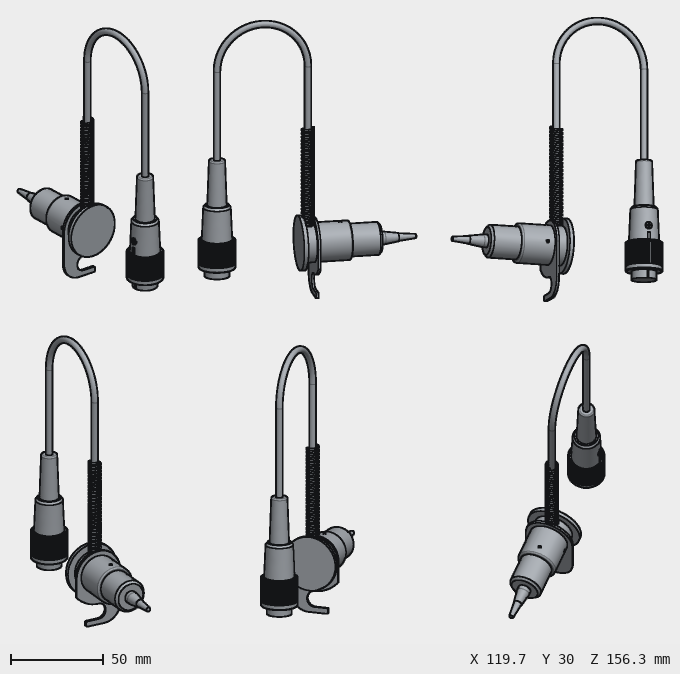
import cadquery as cq
import math


CABLE_RADIUS = 1.9
BEND_RADIUS = 25.0
BEND_CENTRE_Z = 99.9
PLUG_X = 2 * BEND_RADIUS
CABLE_INSERTION = 2.3

NOSE_RADIUS = 18.0 / 2
NOSE_FRONT_X = -39.7
NOSE_CHAMFER = 1.4
SLEEVE_RADIUS = 21.5 / 2
SLEEVE_FRONT_X = -22.8
SLEEVE_ROUNDING = 1.0
FLANGE_RADIUS = 30.0 / 2
FLANGE_FRONT_X = 2.7
FLANGE_THICKNESS = 2.3
SIDE_HOLE_X = -8.5
TOP_HOLE_X = -17.8
SMALL_HOLE_RADIUS = 1.49 / 2
SMALL_HOLE_DEPTH = 1.5

TIP_BASE_RADIUS = 7.0 / 2
TIP_BASE_LENGTH = 2.3
REAR_CONE_LENGTH = 7.7
REAR_CONE_END_RADIUS = 2.3
FRONT_CONE_LENGTH = 9.4
FRONT_CONE_BASE_RADIUS = 2.2
FRONT_CONE_END_RADIUS = 1.3
TIP_DOME_HEIGHT = 0.6

PLATE_FRONT_X = -4.4
PLATE_THICKNESS = 1.4
PLATE_RADIUS = 13.5
PLATE_LOWER_ARC_RADIUS = 17.5
HOOK_SLOT_RADIUS = 8.9 / 2
HOOK_BOTTOM_Z = -29.5
HOOK_CORNER_RADIUS = 10.0
HOOK_END_Y = 7.7
HOOK_END_FILLET = 0.8

WIRE_RADIUS = 1.0 / 2
SPRING_RADIUS = 3.52
SPRING_MEAN_RADIUS = SPRING_RADIUS - WIRE_RADIUS
SPRING_PITCH = 2.0
SPRING_TURNS = 27
SPRING_TOP_Z = 64.7
SPRING_BOTTOM_Z = SPRING_TOP_Z - SPRING_TURNS * SPRING_PITCH
SPRING_BORE_RADIUS = 7.2 / 2
SPRING_BORE_FLOOR_Z = 9.2

BOOT_TOP_Z = 49.9
BOOT_TOP_RADIUS = 8.9 / 2
BOOT_BOTTOM_RADIUS = 5.3
BOOT_ROUNDING = 0.8
BODY_TOP_Z = 24.4
BODY_SHOULDER_RADIUS = 6.4
BODY_TOP_RADIUS = 7.5
BODY_CHAMFER_HEIGHT = 1.4
BODY_BOTTOM_RADIUS = 8.3
RING_TOP_Z = 5.2
RING_BOTTOM_Z = -11.1
RING_RADIUS = 10.0
RING_CHAMFER = 0.5
KNURL_BOTTOM_Z = -8.3
KNURL_ROOT_RADIUS = 9.7
KNURL_TEETH = 90
INDEX_BAR_WIDTH = 1.3
INDEX_BAR_TOP_Z = 3.9
PLUG_NOSE_RADIUS = 13.6 / 2
PLUG_BOTTOM_Z = -15.6
KEYWAY_WIDTH = 0.5
KEYWAY_DEPTH = 0.5
KEYWAY_BOTTOM_Z = -15.0
BODY_MARK_WIDTH = 1.4
BODY_MARK_TOP_Z = 9.2
BODY_MARK_DEPTH = 0.3
SCREW_Z = 13.0
SCREW_RADIUS = 1.9
SCREW_RECESS_DEPTH = 0.3
SCREW_CROSS_WIDTH = 0.5
SCREW_CROSS_DEPTH = 0.6


def upright_cylinder(radius, bottom_z, top_z, x=0.0):
    """A vertical cylinder centred at (x, 0)."""
    height = top_z - bottom_z
    return cq.Workplane("XY", origin=(x, 0, bottom_z)).circle(radius).extrude(height)


def spring_bore():
    """The space for the spring: a bore in the sleeve that also notches the flange and the hook plate."""
    return upright_cylinder(SPRING_BORE_RADIUS, SPRING_BORE_FLOOR_Z, FLANGE_RADIUS)


def make_cable():
    inner_end_z = SLEEVE_RADIUS - CABLE_INSERTION
    plug_end_z = BOOT_TOP_Z - CABLE_INSERTION
    path = (
        cq.Workplane("XZ")
        .moveTo(0, inner_end_z)
        .lineTo(0, BEND_CENTRE_Z)
        .threePointArc((BEND_RADIUS, BEND_CENTRE_Z + BEND_RADIUS), (PLUG_X, BEND_CENTRE_Z))
        .lineTo(PLUG_X, plug_end_z)
    )
    return cq.Workplane("XY", origin=(0, 0, inner_end_z)).circle(CABLE_RADIUS).sweep(path)


def make_spring():
    helix = cq.Wire.makeHelix(SPRING_PITCH, SPRING_TURNS * SPRING_PITCH, SPRING_MEAN_RADIUS)
    coil = (
        cq.Workplane("XZ")
        .center(SPRING_MEAN_RADIUS, 0)
        .circle(WIRE_RADIUS)
        .sweep(cq.Workplane(helix), isFrenet=True)
    )
    return coil.rotate((0, 0, 0), (0, 0, 1), 180).translate((0, 0, SPRING_BOTTOM_Z))


def make_housing():
    rounding_inset = SLEEVE_ROUNDING * (1 - math.sqrt(0.5))
    rounding_mid = (SLEEVE_FRONT_X + rounding_inset, SLEEVE_RADIUS - rounding_inset)
    flange_back_x = FLANGE_FRONT_X + FLANGE_THICKNESS
    housing = (
        cq.Workplane("XZ")
        .moveTo(NOSE_FRONT_X, 0)
        .lineTo(NOSE_FRONT_X, NOSE_RADIUS - NOSE_CHAMFER)
        .lineTo(NOSE_FRONT_X + NOSE_CHAMFER, NOSE_RADIUS)
        .lineTo(SLEEVE_FRONT_X, NOSE_RADIUS)
        .lineTo(SLEEVE_FRONT_X, SLEEVE_RADIUS - SLEEVE_ROUNDING)
        .threePointArc(rounding_mid, (SLEEVE_FRONT_X + SLEEVE_ROUNDING, SLEEVE_RADIUS))
        .lineTo(FLANGE_FRONT_X, SLEEVE_RADIUS)
        .lineTo(FLANGE_FRONT_X, FLANGE_RADIUS)
        .lineTo(flange_back_x, FLANGE_RADIUS)
        .lineTo(flange_back_x, 0)
        .close()
        .revolve(360, (0, 0, 0), (1, 0, 0))
    )
    hole_floor = SLEEVE_RADIUS - SMALL_HOLE_DEPTH
    top_hole = upright_cylinder(SMALL_HOLE_RADIUS, hole_floor, FLANGE_RADIUS, TOP_HOLE_X)
    side_hole = upright_cylinder(SMALL_HOLE_RADIUS, hole_floor, FLANGE_RADIUS, SIDE_HOLE_X)
    side_hole = side_hole.rotate((0, 0, 0), (1, 0, 0), 90)
    cable_hole = upright_cylinder(CABLE_RADIUS, SLEEVE_RADIUS - CABLE_INSERTION, FLANGE_RADIUS)
    return housing.cut(top_hole).cut(side_hole).cut(cable_hole).cut(spring_bore())


def make_tip():
    base_front_x = NOSE_FRONT_X - TIP_BASE_LENGTH
    cone_joint_x = base_front_x - REAR_CONE_LENGTH
    cone_end_x = cone_joint_x - FRONT_CONE_LENGTH
    dome_radius = (FRONT_CONE_END_RADIUS**2 + TIP_DOME_HEIGHT**2) / (2 * TIP_DOME_HEIGHT)
    dome_half_angle = math.asin(FRONT_CONE_END_RADIUS / dome_radius) / 2
    dome_centre_x = cone_end_x - TIP_DOME_HEIGHT + dome_radius
    dome_mid = (
        dome_centre_x - dome_radius * math.cos(dome_half_angle),
        dome_radius * math.sin(dome_half_angle),
    )
    return (
        cq.Workplane("XZ")
        .moveTo(NOSE_FRONT_X, 0)
        .lineTo(NOSE_FRONT_X, TIP_BASE_RADIUS)
        .lineTo(base_front_x, TIP_BASE_RADIUS)
        .lineTo(cone_joint_x, REAR_CONE_END_RADIUS)
        .lineTo(cone_joint_x, FRONT_CONE_BASE_RADIUS)
        .lineTo(cone_end_x, FRONT_CONE_END_RADIUS)
        .threePointArc(dome_mid, (cone_end_x - TIP_DOME_HEIGHT, 0))
        .close()
        .revolve(360, (0, 0, 0), (1, 0, 0))
    )


def make_hook_plate():
    lower_edge_z = -math.sqrt(PLATE_LOWER_ARC_RADIUS**2 - PLATE_RADIUS**2)
    lower_mid_angle = math.acos(PLATE_RADIUS / PLATE_LOWER_ARC_RADIUS) / 2 + math.pi / 4
    lower_mid = (
        PLATE_LOWER_ARC_RADIUS * math.cos(lower_mid_angle),
        -PLATE_LOWER_ARC_RADIUS * math.sin(lower_mid_angle),
    )
    slot_top_z = -PLATE_LOWER_ARC_RADIUS
    slot_centre_z = slot_top_z - HOOK_SLOT_RADIUS
    slot_bottom_z = slot_centre_z - HOOK_SLOT_RADIUS
    corner_y = -PLATE_RADIUS + HOOK_CORNER_RADIUS
    corner_z = HOOK_BOTTOM_Z + HOOK_CORNER_RADIUS
    corner_reach = HOOK_CORNER_RADIUS * math.sqrt(0.5)
    plate = (
        cq.Workplane("YZ", origin=(PLATE_FRONT_X, 0, 0))
        .moveTo(-PLATE_RADIUS, 0)
        .threePointArc((0, PLATE_RADIUS), (PLATE_RADIUS, 0))
        .lineTo(PLATE_RADIUS, lower_edge_z)
        .threePointArc(lower_mid, (0, slot_top_z))
        .threePointArc((-HOOK_SLOT_RADIUS, slot_centre_z), (0, slot_bottom_z))
        .lineTo(HOOK_END_Y, slot_bottom_z)
        .lineTo(HOOK_END_Y, HOOK_BOTTOM_Z)
        .lineTo(corner_y, HOOK_BOTTOM_Z)
        .threePointArc((corner_y - corner_reach, corner_z - corner_reach), (-PLATE_RADIUS, corner_z))
        .close()
        .extrude(PLATE_THICKNESS)
    )
    end_corners = cq.selectors.BoxSelector(
        (PLATE_FRONT_X, HOOK_END_Y - HOOK_END_FILLET, HOOK_BOTTOM_Z - HOOK_END_FILLET),
        (PLATE_FRONT_X + PLATE_THICKNESS, HOOK_END_Y + HOOK_END_FILLET, slot_bottom_z + HOOK_END_FILLET),
    )
    plate = plate.edges("|X").edges(end_corners).fillet(HOOK_END_FILLET)
    sleeve_hole = cq.Workplane("YZ", origin=(PLATE_FRONT_X, 0, 0)).circle(SLEEVE_RADIUS).extrude(PLATE_THICKNESS)
    return plate.cut(sleeve_hole).cut(spring_bore())


def plug_core():
    """The turned shape of the plug without its knurl and marks."""
    body_corner_z = BODY_TOP_Z - BODY_CHAMFER_HEIGHT
    rounding_inset = BOOT_ROUNDING * (1 - math.sqrt(0.5))
    rounding_mid = (BOOT_TOP_RADIUS - rounding_inset, BOOT_TOP_Z - rounding_inset)
    return (
        cq.Workplane("XZ")
        .moveTo(0, BOOT_TOP_Z)
        .lineTo(BOOT_TOP_RADIUS - BOOT_ROUNDING, BOOT_TOP_Z)
        .threePointArc(rounding_mid, (BOOT_TOP_RADIUS, BOOT_TOP_Z - BOOT_ROUNDING))
        .lineTo(BOOT_BOTTOM_RADIUS, BODY_TOP_Z)
        .lineTo(BODY_SHOULDER_RADIUS, BODY_TOP_Z)
        .lineTo(BODY_TOP_RADIUS, body_corner_z)
        .lineTo(BODY_BOTTOM_RADIUS, RING_TOP_Z)
        .lineTo(KNURL_ROOT_RADIUS - RING_CHAMFER, RING_TOP_Z)
        .lineTo(KNURL_ROOT_RADIUS, RING_TOP_Z - RING_CHAMFER)
        .lineTo(KNURL_ROOT_RADIUS, KNURL_BOTTOM_Z)
        .lineTo(RING_RADIUS, KNURL_BOTTOM_Z)
        .lineTo(RING_RADIUS, RING_BOTTOM_Z + RING_CHAMFER)
        .lineTo(RING_RADIUS - RING_CHAMFER, RING_BOTTOM_Z)
        .lineTo(PLUG_NOSE_RADIUS, RING_BOTTOM_Z)
        .lineTo(PLUG_NOSE_RADIUS, PLUG_BOTTOM_Z)
        .lineTo(0, PLUG_BOTTOM_Z)
        .close()
        .revolve(360, (0, 0, 0), (0, 1, 0))
    )


def knurl():
    """A band of pointed teeth with a flat index bar on the -Y side."""
    half_tooth = math.pi / KNURL_TEETH
    teeth_points = []
    for corner in range(2 * KNURL_TEETH):
        radius = RING_RADIUS if corner % 2 == 0 else KNURL_ROOT_RADIUS
        angle = corner * half_tooth
        teeth_points.append((radius * math.cos(angle), radius * math.sin(angle)))
    knurl_top_z = RING_TOP_Z - RING_CHAMFER
    band = (
        cq.Workplane("XY", origin=(0, 0, KNURL_BOTTOM_Z))
        .polyline(teeth_points)
        .close()
        .extrude(knurl_top_z - KNURL_BOTTOM_Z)
    )
    bar_height = INDEX_BAR_TOP_Z - KNURL_BOTTOM_Z
    bar = cq.Workplane("XY").box(
        INDEX_BAR_WIDTH, RING_RADIUS, bar_height, centered=(True, False, False)
    ).translate((0, -RING_RADIUS, KNURL_BOTTOM_Z))
    return band.union(bar)


def body_radius_at(z):
    """The radius of the tapered plug body at height z."""
    taper_height = BODY_TOP_Z - BODY_CHAMFER_HEIGHT - RING_TOP_Z
    slope = (BODY_TOP_RADIUS - BODY_BOTTOM_RADIUS) / taper_height
    return BODY_BOTTOM_RADIUS + slope * (z - RING_TOP_Z)


def body_mark():
    """A shallow groove in the -Y side of the plug body, above the ring."""
    floor = body_radius_at(BODY_MARK_TOP_Z) - BODY_MARK_DEPTH
    height = BODY_MARK_TOP_Z - RING_TOP_Z
    slot_depth = BODY_BOTTOM_RADIUS - floor
    slot = cq.Workplane("XY").box(BODY_MARK_WIDTH, slot_depth, height, centered=(True, False, False))
    return slot.translate((0, -BODY_BOTTOM_RADIUS, RING_TOP_Z))


def screw_recess():
    """A round recess with a deeper cross slot in the -Y side of the plug body."""
    surface = body_radius_at(SCREW_Z)
    start = cq.Workplane("XZ", origin=(0, SCREW_RECESS_DEPTH - surface, SCREW_Z))
    recess = start.circle(SCREW_RADIUS).extrude(surface)
    cross_floor = cq.Workplane("XZ", origin=(0, SCREW_CROSS_DEPTH - surface, SCREW_Z))
    slot_length = 2 * SCREW_RADIUS
    cross_height = SCREW_CROSS_DEPTH
    upright_slot = cross_floor.rect(SCREW_CROSS_WIDTH, slot_length).extrude(cross_height)
    level_slot = cross_floor.rect(slot_length, SCREW_CROSS_WIDTH).extrude(cross_height)
    return recess.union(upright_slot).union(level_slot)


def keyway():
    """A groove down the -Y side of the plug nose."""
    height = RING_BOTTOM_Z - KEYWAY_BOTTOM_Z
    slot = cq.Workplane("XY").box(KEYWAY_WIDTH, KEYWAY_DEPTH, height, centered=(True, False, False))
    return slot.translate((0, -PLUG_NOSE_RADIUS, KEYWAY_BOTTOM_Z))


def make_plug():
    plug = plug_core().union(knurl())
    cable_hole = upright_cylinder(CABLE_RADIUS, BOOT_TOP_Z - CABLE_INSERTION, BOOT_TOP_Z)
    plug = plug.cut(body_mark()).cut(screw_recess()).cut(keyway()).cut(cable_hole)
    return plug.translate((PLUG_X, 0, 0))


housing = make_housing()
tip = make_tip()
hook_plate = make_hook_plate()
spring = make_spring()
cable = make_cable()
plug = make_plug()

result = cq.Compound.makeCompound(
    [housing.val(), tip.val(), hook_plate.val(), spring.val(), cable.val(), plug.val()]
)